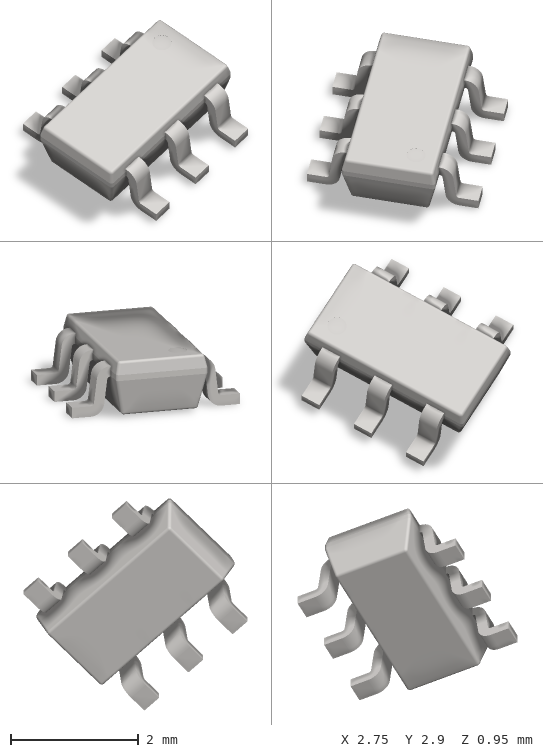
import cadquery as cq
import math

body_length = 2.9
body_width = 1.5
body_bottom = 0.05
body_top = 0.95
band_bottom = 0.647
band_top = 0.742
draft_angle = 12.0
edge_radius = 0.05

mark_diameter = 0.3
mark_inset = 0.383
mark_depth = 0.003

lead_span = 2.75
lead_width = 0.32
lead_thickness = 0.17
lead_pitch = 0.95
leads_per_side = 3
lead_top = 0.8
foot_length = 0.307
inner_bend_radius = 0.05
outer_bend_radius = inner_bend_radius + lead_thickness
leg_lean = 7.0
lead_embed = 0.115


def drafted_block(base_z, height):
    """Block that narrows away from the band; a negative height points down."""
    return (
        cq.Workplane("XY")
        .workplane(offset=base_z)
        .rect(body_width, body_length)
        .extrude(height, taper=draft_angle)
    )


def make_body():
    band = (
        cq.Workplane("XY")
        .workplane(offset=band_bottom)
        .rect(body_width, body_length)
        .extrude(band_top - band_bottom)
    )
    upper = drafted_block(band_top, body_top - band_top)
    lower = drafted_block(band_bottom, body_bottom - band_bottom)
    body = band.union(upper).union(lower)
    corner_edges = body.edges("not(#Z)")
    rim_edges = body.faces("<Z or >Z").edges()
    return corner_edges.add(rim_edges).fillet(edge_radius)


def cut_mark(body):
    mark = (
        cq.Workplane("XY")
        .workplane(offset=body_top - mark_depth)
        .center(mark_inset - body_width / 2, body_length / 2 - mark_inset)
        .circle(mark_diameter / 2)
        .extrude(2 * mark_depth)
    )
    return body.cut(mark)


def arc_point(center, radius, angle):
    """Point on a circle at an angle in degrees, counted from +X towards +Z."""
    turn = math.radians(angle)
    return (center[0] + radius * math.cos(turn), center[1] + radius * math.sin(turn))


def make_lead():
    """Lead on the +X side, centred on Y = 0."""
    lean = math.radians(leg_lean)
    toe_x = lead_span / 2

    foot_z = outer_bend_radius
    shoulder_z = lead_top - outer_bend_radius
    center_gap = inner_bend_radius + outer_bend_radius
    leg_length = (shoulder_z - foot_z + center_gap * math.sin(lean)) / math.cos(lean)
    bend_offset = center_gap * math.cos(lean) + leg_length * math.sin(lean)
    foot_center = (toe_x - foot_length, foot_z)
    shoulder_center = (foot_center[0] - bend_offset, shoulder_z)

    root_x = body_width / 2 - lead_embed
    shoulder_mid = (90 + leg_lean) / 2
    foot_mid = shoulder_mid + 180

    profile = (
        cq.Workplane("XZ")
        .moveTo(root_x, lead_top)
        .lineTo(*arc_point(shoulder_center, outer_bend_radius, 90))
        .threePointArc(
            arc_point(shoulder_center, outer_bend_radius, shoulder_mid),
            arc_point(shoulder_center, outer_bend_radius, leg_lean),
        )
        .lineTo(*arc_point(foot_center, inner_bend_radius, 180 + leg_lean))
        .threePointArc(
            arc_point(foot_center, inner_bend_radius, foot_mid),
            arc_point(foot_center, inner_bend_radius, 270),
        )
        .lineTo(toe_x, lead_thickness)
        .lineTo(toe_x, 0)
        .lineTo(*arc_point(foot_center, outer_bend_radius, 270))
        .threePointArc(
            arc_point(foot_center, outer_bend_radius, foot_mid),
            arc_point(foot_center, outer_bend_radius, 180 + leg_lean),
        )
        .lineTo(*arc_point(shoulder_center, inner_bend_radius, leg_lean))
        .threePointArc(
            arc_point(shoulder_center, inner_bend_radius, shoulder_mid),
            arc_point(shoulder_center, inner_bend_radius, 90),
        )
        .lineTo(root_x, lead_top - lead_thickness)
        .close()
    )
    return profile.extrude(lead_width / 2, both=True)


result = cut_mark(make_body())
right_lead = make_lead()
left_lead = right_lead.mirror("YZ")
for index in range(leads_per_side):
    lead_y = (index - (leads_per_side - 1) / 2) * lead_pitch
    for lead in (right_lead, left_lead):
        result = result.union(lead.translate((0, lead_y, 0)))